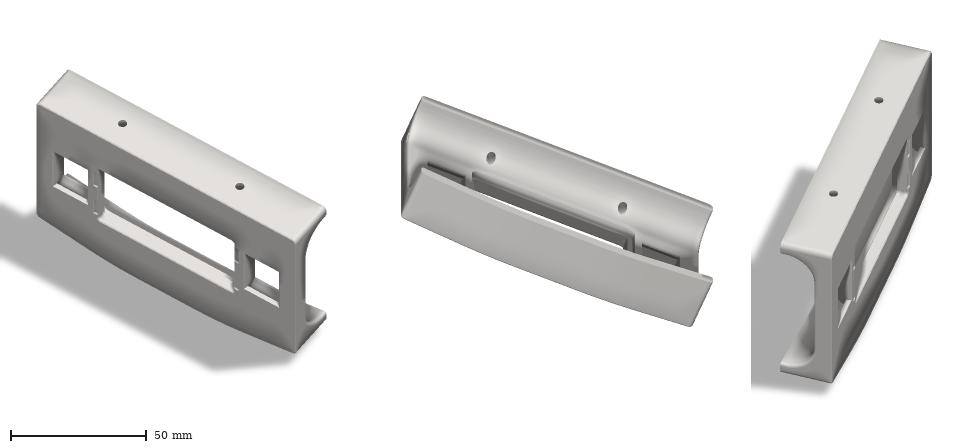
import cadquery as cq
import math

width = 116.8
depth = 20.0
height = 71.0
side_drop = 5.3
keel_half_width = 24.0
keel_bend_radius = 140.4
corner_radius = 2.0
front_chamfer = 0.4

front_wall = 7.0
flange = 5.0
channel_radius = 11.0
channel_end_fillet = 1.0

display_width = 61.3
display_height = 29.7
display_z = 36.7
display_radius = 1.3
display_lip = 4.5
rebate_side = 2.0
rebate_end = 1.5

notch_reach = 2.1
notch_height = 8.3
notch_depth = 0.5
notch_offset = 8.0

jack_x = 42.9
jack_width = 15.2
jack_bottom = 27.6
left_jack_top = 48.0
right_jack_top = 48.3
jack_throat_top = 46.5
jack_ledge = 2.0
jack_groove = 2.6
jack_chamfer = 0.5
jack_back_land = 0.8

screw_diameter = 3.4
screw_x = 26.3

rim_width = 0.4
rim_rise = 0.2
rim_start_angle = 9.5
rim_end_angle = 33.0

half_width = width / 2
selection_margin = 0.1


def block(x_size, y_start, y_end, z_size, z):
    """Box centred on X and at height z that reaches from y_start to y_end."""
    y_size = y_end - y_start
    return cq.Workplane("XY").box(x_size, y_size, z_size).translate((0, y_start + y_size / 2, z))


def outline(inset):
    """Front outline, with its top and bottom moved inwards by inset and its sides left in place."""
    slope = math.atan2(side_drop, half_width - keel_half_width)
    bend_radius = keel_bend_radius - inset
    flat_x = keel_half_width - keel_bend_radius * math.tan(slope / 2)
    side_z = side_drop + inset / math.cos(slope)

    def bend_point(angle):
        x = flat_x + bend_radius * math.sin(angle)
        return (x, keel_bend_radius - bend_radius * math.cos(angle))

    def mirrored(point):
        return (-point[0], point[1])

    return (
        cq.Workplane("XZ")
        .moveTo(-half_width, height - inset)
        .lineTo(half_width, height - inset)
        .lineTo(half_width, side_z)
        .lineTo(*bend_point(slope))
        .threePointArc(bend_point(slope / 2), bend_point(0))
        .lineTo(*mirrored(bend_point(0)))
        .threePointArc(mirrored(bend_point(slope / 2)), mirrored(bend_point(slope)))
        .lineTo(-half_width, side_z)
        .close()
    )


def make_body():
    """Solid block with rounded corners and a chamfered front face."""
    body = outline(0).extrude(-depth)
    body = body.edges("|Y and (<X or >X)").fillet(corner_radius)
    return body.faces("<Y").edges().chamfer(front_chamfer)


def cut_channel(body):
    """Open the back with a round-cornered channel and round the edges of its two mouths."""
    channel = outline(flange).extrude(front_wall - depth).translate((0, front_wall, 0))
    channel = channel.faces("<Y").edges("not |Z").fillet(channel_radius)
    body = body.cut(channel)
    margin = selection_margin
    for side in (-1, 1):
        mouth_edges = cq.selectors.BoxSelector(
            (side * (half_width - margin), front_wall - margin, side_drop + flange - margin),
            (side * (half_width + margin), depth - margin, height - flange + margin),
        )
        body = body.edges(mouth_edges).fillet(channel_end_fillet)
    return body


def notch_cutter(offset):
    """Shallow pocket across the opening whose walls slope inwards at 45 degrees."""
    return (
        cq.Workplane("XZ")
        .center(0, display_z + offset)
        .rect(display_width + 2 * notch_reach, notch_height)
        .extrude(-notch_depth, taper=45)
    )


def display_cutter():
    """Rounded opening with a chamfered front rim, a wider rebate behind it and four edge notches."""
    opening = block(display_width, 0, front_wall, display_height, z=display_z)
    opening = opening.edges("|Y").fillet(display_radius)
    rim_flare = (
        cq.Workplane("XZ", origin=(0, 0, display_z))
        .sketch()
        .rect(display_width + 2 * front_chamfer, display_height + 2 * front_chamfer)
        .vertices()
        .fillet(display_radius + front_chamfer)
        .finalize()
        .extrude(-front_chamfer, taper=45)
    )
    rebate_width = display_width + 2 * rebate_side
    rebate_height = display_height + 2 * rebate_end
    rebate = block(rebate_width, display_lip, front_wall, rebate_height, z=display_z)
    rebate = rebate.edges("|Y").fillet(display_radius + rebate_end)
    cutter = opening.union(rim_flare).union(rebate)
    for offset in (-notch_offset, notch_offset):
        cutter = cutter.union(notch_cutter(offset))
    return cutter


def jack_cutter(x, top):
    """Window with a catch groove in its floor and a ramp that lowers its ceiling."""
    ramp_end = front_wall - jack_back_land
    throat_drop = top - jack_throat_top
    profile = [
        (0, jack_bottom),
        (jack_ledge, jack_bottom),
        (jack_ledge, jack_bottom - jack_groove),
        (ramp_end - jack_groove, jack_bottom - jack_groove),
        (ramp_end, jack_bottom),
        (front_wall, jack_bottom),
        (front_wall, jack_throat_top),
        (ramp_end, jack_throat_top),
        (ramp_end - throat_drop, top),
        (0, top),
    ]
    window = cq.Workplane("YZ").polyline(profile).close().extrude(jack_width / 2, both=True)
    flare = (
        cq.Workplane("XY", origin=(0, 0, jack_bottom))
        .polyline(
            [
                (-jack_width / 2 - jack_chamfer, 0),
                (jack_width / 2 + jack_chamfer, 0),
                (jack_width / 2, jack_chamfer),
                (-jack_width / 2, jack_chamfer),
            ]
        )
        .close()
        .extrude(top - jack_bottom)
    )
    return window.union(flare).translate((x, 0, 0))


def screw_cutter(x):
    """Hole from the top face down into the channel."""
    hole_end = height - flange - channel_radius
    return (
        cq.Workplane("XY", origin=(x, depth / 2, hole_end))
        .circle(screw_diameter / 2)
        .extrude(height - hole_end)
    )


def make_rim():
    """Thin curved strip that follows the rounded edge of the channel mouth."""
    center_y = front_wall + channel_radius
    center_z = height - flange - channel_radius
    inner_radius = channel_radius + channel_end_fillet
    outer_radius = inner_radius + rim_width
    middle_angle = (rim_start_angle + rim_end_angle) / 2

    def point(radius, angle):
        turn = math.radians(angle)
        return (center_y - radius * math.cos(turn), center_z + radius * math.sin(turn))

    return (
        cq.Workplane("YZ", origin=(half_width - rim_rise, 0, 0))
        .moveTo(*point(inner_radius, rim_start_angle))
        .threePointArc(point(inner_radius, middle_angle), point(inner_radius, rim_end_angle))
        .lineTo(*point(outer_radius, rim_end_angle))
        .threePointArc(point(outer_radius, middle_angle), point(outer_radius, rim_start_angle))
        .close()
        .extrude(2 * rim_rise)
    )


result = cut_channel(make_body())
result = result.cut(display_cutter())
result = result.cut(jack_cutter(-jack_x, left_jack_top))
result = result.cut(jack_cutter(jack_x, right_jack_top))
for x in (-screw_x, screw_x):
    result = result.cut(screw_cutter(x))

result = result.union(make_rim())